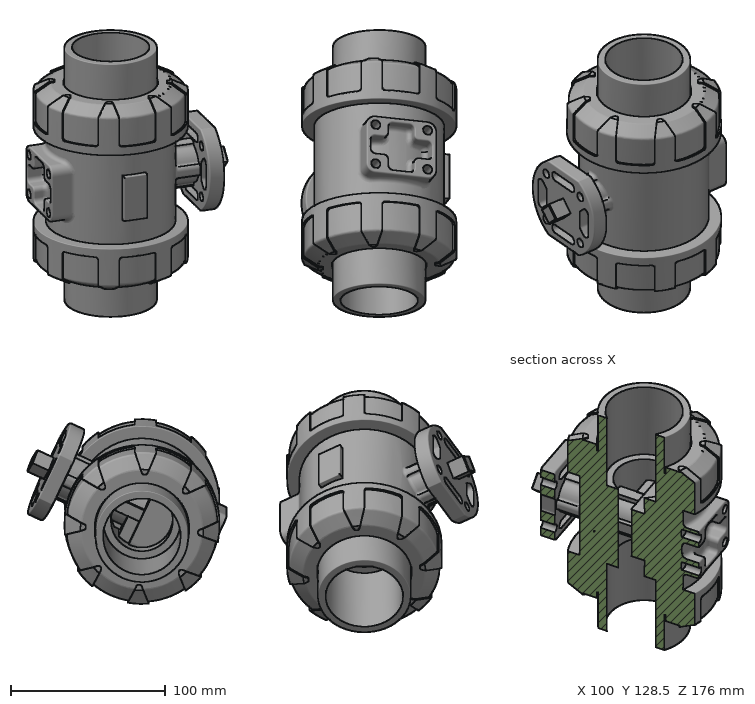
import cadquery as cq
import math


HALF_LENGTH = 88.0
PIPE_DIA = 60.0
PIPE_BORE_DIA = 50.0
BALL_BORE_DIA = 40.0
PIPE_EDGE_FILLET = 0.5
BODY_DIA = 84.0

NUT_START_Z = 32.5
NUT_RIM_TOP_Z = 38.5
NUT_TOP_Z = 63.6
NUT_DIA = 100.0
NUT_CLEARANCE_DIA = 61.2
NUT_CLEARANCE_DEPTH = 5.0
NUT_RIM_FILLET = 0.5
PANEL_COUNT = 8
PANEL_WIDTH = 25.2
PANEL_RADIUS = 48.7
PANEL_CORNER_FILLET = 2.0
NUT_FACE_RADIUS = 39.2
NUT_CONE_ANGLE = 30.0
SHOULDER_FILLET = 2.0
RIB_SHOULDER_FILLET = 2.0
FACE_EDGE_FILLET = 2.0
RIB_RISE = 1.0
RIB_FACE_RADIUS = 39.7
RIB_TIP_FILLET = 2.0

PAD_FACE_Y = -49.8
PAD_WIDTH = 47.0
PAD_HEIGHT = 39.0
PAD_CORNER_RADIUS = 6.0
PAD_FACE_FILLET = 1.0
PAD_BASE_FILLET = 3.0
PAD_HOLE_DIA = 6.0
PAD_HOLE_PITCH_X = 35.0
PAD_HOLE_PITCH_Z = 27.0
RECESS_FLOOR_DIA = 82.0

CROSS_LENGTH_X = 41.4
CROSS_LENGTH_Z = 32.8
CROSS_BAR_X = 17.6
CROSS_BAR_Z = 12.4
CROSS_CORNER_RADIUS = 3.2
CROSS_FLOOR_FILLET = 3.0
CROSS_RIM_FILLET = 1.0

PLATE_FACE_X = 45.2
PLATE_WIDTH = 16.0
PLATE_HEIGHT = 30.6
PLATE_EDGE_FILLET = 0.5

NECK_DIA = 32.0
NECK_CORE_DIA = 26.6
NECK_RIB_WIDTH = 8.0
NECK_TIP_FLAT = 2.0
NECK_TIP_DROP = 1.7
NECK_TIP_ROUND = 3.5
NECK_ROOT_FILLET = 2.2
NECK_BASE_FILLET = 2.0

FLANGE_START_Y = 56.0
FLANGE_END_Y = 66.5
FLANGE_DIA = 65.0
FLANGE_HEIGHT = 57.0
FLANGE_EDGE_FILLET = 1.0
FLANGE_HOLE_DIA = 6.0
FLANGE_HOLE_CIRCLE_DIA = 50.0
SLOT_INNER = 17.0
SIDE_SLOT_OUTER = 25.9
SIDE_SLOT_SETBACK = 11.0
END_SLOT_OUTER = 23.2
END_SLOT_SETBACK = 7.5
SLOT_CORNER_RADIUS = 3.0

STEM_END_Y = 78.5
STEM_SIDE = 11.0
STEM_CHAMFER = 0.6

PICK_MARGIN = 0.2


def cylinder_z(diameter, start_z, end_z):
    """Cylinder on the flow axis between two heights."""
    return cq.Workplane("XY").workplane(offset=start_z).circle(diameter / 2).extrude(end_z - start_z)


def section_at_y(y):
    """Sketch plane across the Y axis, with local axes -X and Z; extrudes toward +Y."""
    return cq.Workplane(cq.Plane(origin=(0, y, 0), xDir=(-1, 0, 0), normal=(0, 1, 0)))


def make_nut_blank(outer_radius, face_radius, top_z):
    """Turned nut blank with a conical shoulder, and the height where the cone starts."""
    shoulder_z = top_z - (outer_radius - face_radius) * math.tan(math.radians(NUT_CONE_ANGLE))
    outline = [
        (0, NUT_START_Z),
        (outer_radius, NUT_START_Z),
        (outer_radius, shoulder_z),
        (face_radius, top_z),
        (0, top_z),
    ]
    blank = cq.Workplane("XZ").polyline(outline).close().revolve(360, (0, 0, 0), (0, 1, 0))
    return blank, shoulder_z


def edges_in_box(part, low_corner, high_corner):
    """Edges whose centres lie inside a box."""
    return part.edges(cq.selectors.BoxSelector(low_corner, high_corner))


def edges_at_height(part, z):
    return edges_in_box(
        part,
        (-NUT_DIA, -NUT_DIA, z - PICK_MARGIN),
        (NUT_DIA, NUT_DIA, z + PICK_MARGIN),
    )


def edges_between_y(part, low_y, high_y, reach_x, reach_z):
    return edges_in_box(part, (-reach_x, low_y, -reach_z), (reach_x, high_y, reach_z))


def make_nut():
    """Upper union nut: a turned core with eight low ribs between recessed panels."""
    core, shoulder_z = make_nut_blank(PANEL_RADIUS, NUT_FACE_RADIUS, NUT_TOP_Z)
    core = edges_at_height(core, shoulder_z).fillet(SHOULDER_FILLET)
    core = edges_at_height(core, NUT_TOP_Z).fillet(FACE_EDGE_FILLET)

    rib_top_z = NUT_TOP_Z + RIB_RISE
    ribs, shoulder_z = make_nut_blank(NUT_DIA / 2, RIB_FACE_RADIUS, rib_top_z)
    ribs = edges_at_height(ribs, shoulder_z).fillet(RIB_SHOULDER_FILLET)
    ribs = ribs.faces("<Z").edges().fillet(NUT_RIM_FILLET)
    panel = (
        cq.Workplane("XY")
        .workplane(offset=NUT_RIM_TOP_Z)
        .center(NUT_DIA / 2, 0)
        .rect(NUT_DIA, PANEL_WIDTH)
        .extrude(rib_top_z)
        .edges("|X and <Z")
        .fillet(PANEL_CORNER_FILLET)
    )
    for index in range(PANEL_COUNT):
        ribs = ribs.cut(panel.rotate((0, 0, 0), (0, 0, 1), index * 360 / PANEL_COUNT))
    tip_radius = PANEL_WIDTH / 2 / math.sin(math.pi / PANEL_COUNT)
    tip_edges = edges_in_box(
        ribs.edges("|Z"), (-tip_radius, -tip_radius, 0), (tip_radius, tip_radius, HALF_LENGTH))
    ribs = tip_edges.fillet(RIB_TIP_FILLET)
    return core.union(ribs)


def make_pad(start_y):
    """Rounded block from start_y out to the pad face."""
    return (
        section_at_y(start_y)
        .rect(PAD_WIDTH, PAD_HEIGHT)
        .extrude(PAD_FACE_Y - start_y)
        .edges("|Y")
        .fillet(PAD_CORNER_RADIUS)
    )


def make_neck(end_y, rounded_tips):
    """Round core with four ribs, from the flow axis out to end_y."""
    neck = section_at_y(0).circle(NECK_CORE_DIA / 2).extrude(end_y)
    half_width = NECK_RIB_WIDTH / 2
    half_tip = NECK_TIP_FLAT / 2
    tip = NECK_DIA / 2
    shoulder = tip - NECK_TIP_DROP
    rib = section_at_y(0).moveTo(0, -half_width).lineTo(0, half_width)
    if rounded_tips:
        rib = (
            rib.lineTo(shoulder, half_width)
            .radiusArc((tip, half_tip), NECK_TIP_ROUND)
            .lineTo(tip, -half_tip)
            .radiusArc((shoulder, -half_width), NECK_TIP_ROUND)
        )
    else:
        rib = rib.lineTo(tip, half_width).lineTo(tip, -half_width)
    rib = rib.close().extrude(end_y)
    for angle in (0, 90, 180, 270):
        neck = neck.union(rib.rotate((0, 0, 0), (0, 1, 0), angle))
    return neck


def make_cross_pocket():
    """Cross-shaped cutter with rounded corners; its floor follows a cylinder about Z."""
    bar_x = section_at_y(PAD_FACE_Y).rect(CROSS_LENGTH_X, CROSS_BAR_Z).extrude(-PAD_FACE_Y)
    bar_z = section_at_y(PAD_FACE_Y).rect(CROSS_BAR_X, CROSS_LENGTH_Z).extrude(-PAD_FACE_Y)
    cross = bar_x.union(bar_z).edges("|Y").fillet(CROSS_CORNER_RADIUS)
    cross = cross.cut(cylinder_z(RECESS_FLOOR_DIA, -PAD_HEIGHT, PAD_HEIGHT))
    return cross.edges("(not |Y) and (not <Y)").fillet(CROSS_FLOOR_FILLET)


def make_slot(outer, setback, angle):
    """Trapezoid flange slot; its 45 degree ends are set back from the diagonals."""
    half_inner = SLOT_INNER - setback
    half_outer = outer - setback
    outline = [
        (SLOT_INNER, -half_inner),
        (outer, -half_outer),
        (outer, half_outer),
        (SLOT_INNER, half_inner),
    ]
    slot = section_at_y(FLANGE_START_Y).polyline(outline).close().extrude(FLANGE_END_Y - FLANGE_START_Y)
    return slot.edges("|Y").fillet(SLOT_CORNER_RADIUS).rotate((0, 0, 0), (0, 1, 0), angle)


def make_flange():
    """Round flange with two flats, four holes and four slots."""
    flange = section_at_y(FLANGE_START_Y).circle(FLANGE_DIA / 2).extrude(FLANGE_END_Y - FLANGE_START_Y)
    flange = flange.intersect(cq.Workplane("XY").box(FLANGE_DIA, 2 * FLANGE_END_Y, FLANGE_HEIGHT))
    flange = flange.edges("|Y").fillet(FLANGE_EDGE_FILLET)
    flange = flange.faces("<Y or >Y").edges().fillet(FLANGE_EDGE_FILLET)
    holes = (
        section_at_y(FLANGE_START_Y)
        .polarArray(FLANGE_HOLE_CIRCLE_DIA / 2, 45, 360, 4)
        .circle(FLANGE_HOLE_DIA / 2)
        .extrude(FLANGE_END_Y - FLANGE_START_Y)
    )
    for angle in (0, 180):
        flange = flange.cut(make_slot(SIDE_SLOT_OUTER, SIDE_SLOT_SETBACK, angle))
    for angle in (90, 270):
        flange = flange.cut(make_slot(END_SLOT_OUTER, END_SLOT_SETBACK, angle))
    return flange.cut(holes)


def make_stem():
    """Square drive end, standing on its corner."""
    return (
        section_at_y(FLANGE_END_Y)
        .transformed(rotate=(0, 0, 45))
        .rect(STEM_SIDE, STEM_SIDE)
        .extrude(STEM_END_Y - FLANGE_END_Y)
        .faces(">Y")
        .chamfer(STEM_CHAMFER)
    )


def make_plate():
    """Flat side plate reaching from the flow axis to +X."""
    return cq.Workplane("XY").box(
        PLATE_FACE_X, PLATE_WIDTH, PLATE_HEIGHT, centered=(False, True, True)
    ).faces(">X").edges().fillet(PLATE_EDGE_FILLET)


def blend_pad(part):
    """Add the pad and round its base and face."""
    part = part.union(make_pad(0))
    base = edges_between_y(
        part,
        -BODY_DIA / 2 - PICK_MARGIN,
        -BODY_DIA / 4,
        PAD_WIDTH / 2 + PICK_MARGIN,
        PAD_HEIGHT / 2 + PICK_MARGIN,
    )
    part = base.fillet(PAD_BASE_FILLET)
    return part.faces("<Y").edges().fillet(PAD_FACE_FILLET)


def blend_neck(part):
    """Add the neck with rounded rib roots and round its base."""
    neck = make_neck(FLANGE_START_Y, rounded_tips=True)
    core_reach = NECK_CORE_DIA / 2
    roots = edges_between_y(neck.edges("|Y"), 0, FLANGE_START_Y, core_reach, core_reach)
    part = part.union(roots.fillet(NECK_ROOT_FILLET))
    neck_reach = NECK_DIA / 2 + PICK_MARGIN
    base = edges_between_y(part, BODY_DIA / 4, BODY_DIA / 2 + PICK_MARGIN, neck_reach, neck_reach)
    return base.fillet(NECK_BASE_FILLET)


def make_end():
    """Upper union nut with its pipe end and the clearance ring between them."""
    ring_cut = cylinder_z(NUT_CLEARANCE_DIA, NUT_TOP_Z - NUT_CLEARANCE_DEPTH, HALF_LENGTH)
    pipe = cylinder_z(PIPE_DIA, NUT_START_Z, HALF_LENGTH)
    pipe = pipe.faces(">Z").edges().fillet(PIPE_EDGE_FILLET)
    return make_nut().cut(ring_cut).union(pipe)


def cut_pad_recesses(part):
    """Cut the cross pocket with its rounded rim and the four screw holes."""
    part = part.cut(make_cross_pocket())
    rim = edges_between_y(
        part,
        PAD_FACE_Y - PICK_MARGIN,
        PAD_FACE_Y + PICK_MARGIN,
        CROSS_LENGTH_X / 2 + PICK_MARGIN,
        CROSS_LENGTH_Z / 2 + PICK_MARGIN,
    )
    part = rim.fillet(CROSS_RIM_FILLET)
    holes = (
        section_at_y(PAD_FACE_Y)
        .rarray(PAD_HOLE_PITCH_X, PAD_HOLE_PITCH_Z, 2, 2)
        .circle(PAD_HOLE_DIA / 2)
        .extrude(-PAD_FACE_Y)
        .cut(cylinder_z(RECESS_FLOOR_DIA, -PAD_HEIGHT, PAD_HEIGHT))
    )
    return part.cut(holes)


body = cylinder_z(BODY_DIA, -NUT_START_Z, NUT_START_Z)
body = blend_pad(body)
body = blend_neck(body)

end = make_end()
body = body.union(end).union(end.mirror("XY"))

body = body.cut(cylinder_z(BALL_BORE_DIA, -HALF_LENGTH, HALF_LENGTH))
for side in (-1, 1):
    body = body.cut(cylinder_z(PIPE_BORE_DIA, side * NUT_START_Z, side * HALF_LENGTH))

wall_mid_dia = (BALL_BORE_DIA + BODY_DIA) / 2
pad_core = make_pad(0).intersect(cylinder_z(wall_mid_dia, -NUT_START_Z, NUT_START_Z))
neck_core = make_neck(wall_mid_dia / 2, rounded_tips=False)
body = body.union(pad_core).union(neck_core).union(make_plate())

body = cut_pad_recesses(body)
result = body.union(make_flange()).union(make_stem())